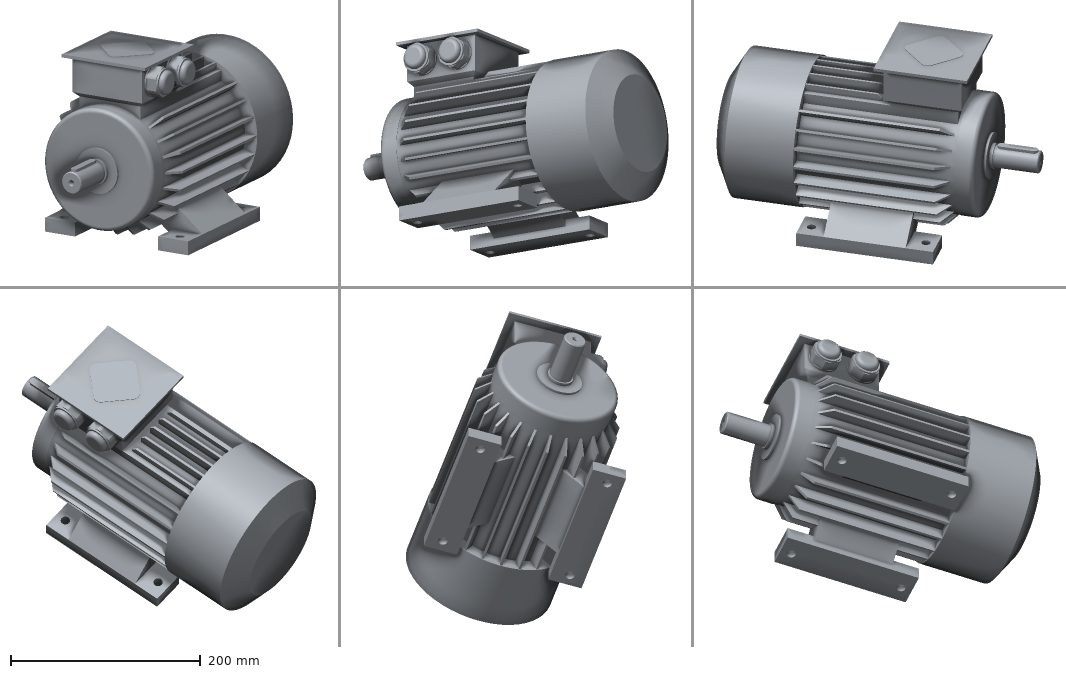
import cadquery as cq
import math


total_length = 340.0
shaft_dia = 24.0
shaft_chamfer = 1.0
shoulder_dia = 28.0
shoulder_y = 49.3
boss_dia = 50.0
boss_y = 53.0
flange_dia = 134.0
flange_y = 55.8
flange_back_y = 77.2
flange_round = 4.8
barrel_dia = 133.0
cowl_dia = 162.5
cowl_y = 248.5
cowl_cone_y = 323.5
cowl_end_dia = 104.5
center_dia = 6.8
center_depth = 5.8

key_width = 7.8
key_start_y = 2.7
key_length = 44.2
key_top_z = 14.5

fin_thickness = 2.7
fin_radius = 80.2
fin_step = 15
first_fin_angle = 135
last_fin_angle = 405
fin_front_y = 81.3
fin_full_y = 95.0
top_fin_count = 5
top_fin_pitch = 15.0
top_fin_end_y = 165.0
top_fin_chamfer = 4.8

box_size = 85.0
box_center_y = 117.5
box_base_z = 74.8
box_taper = 5.0
seat_width = box_size - 2 * box_taper
seat_top_z = 66.5
lid_size = 102.0
lid_base_z = 114.0
lid_thickness = 3.5
emblem_center_y = 116.5
emblem_size = 49.3
emblem_round = 7.5
emblem_height = 0.7

gland_pitch = 43.5
gland_z = 95.2
gland_dia = 33.0
gland_across_flats = 30.3
gland_collar = 1.7
gland_hex_sides = 6
gland_hex_length = 12.0
gland_washer_dia = 30.5
gland_washer_length = 2.0
gland_cap_dia = 26.2
gland_cap_length = 6.0
gland_cap_round = 4.5

foot_span = 175.0
foot_outer_x = foot_span / 2
foot_width = 36.7
foot_base_z = -90.0
foot_height = 15.3
foot_start_y = 94.0
foot_length = 149.5
foot_hole_dia = 10.0
foot_hole_inset_x = 17.0
foot_hole_inset_y = 12.2
web_length = 89.8
web_angle = 40.0
web_lower_z = -82.3
web_reach = 47.5


def make_body():
    """Shaft, end flange, barrel and fan cowl turned about the Y axis."""
    profile = [
        (0, 0),
        (shaft_dia / 2 - shaft_chamfer, 0),
        (shaft_dia / 2, shaft_chamfer),
        (shaft_dia / 2, shoulder_y),
        (shoulder_dia / 2, shoulder_y),
        (shoulder_dia / 2, boss_y),
        (boss_dia / 2, boss_y),
        (boss_dia / 2, flange_y),
        (flange_dia / 2 - flange_round, flange_y),
    ]
    round_drop = flange_round * (1 - math.sqrt(0.5))
    return (
        cq.Workplane("XY")
        .polyline(profile)
        .threePointArc(
            (flange_dia / 2 - round_drop, flange_y + round_drop),
            (flange_dia / 2, flange_y + flange_round),
        )
        .lineTo(flange_dia / 2, flange_back_y)
        .lineTo(barrel_dia / 2, flange_back_y)
        .lineTo(barrel_dia / 2, cowl_y)
        .lineTo(cowl_dia / 2, cowl_y)
        .lineTo(cowl_dia / 2, cowl_cone_y)
        .lineTo(cowl_end_dia / 2, total_length)
        .lineTo(0, total_length)
        .close()
        .revolve(360, (0, 0, 0), (0, 1, 0))
    )


def make_center_hole():
    """Conical lathe centre in the shaft tip."""
    cone = cq.Solid.makeCone(
        center_dia / 2, 0, center_depth, cq.Vector(0, 0, 0), cq.Vector(0, 1, 0)
    )
    return cq.Workplane(cone)


def make_key():
    """Round-ended key standing up out of the shaft."""
    return (
        cq.Workplane("XY")
        .center(0, key_start_y + key_length / 2)
        .slot2D(key_length, key_width, 90)
        .extrude(key_top_z)
    )


def make_radial_fins():
    """Fins around the sides and bottom, sloping down to the barrel at the front."""
    root = barrel_dia / 2
    fin = (
        cq.Workplane("XY")
        .polyline([
            (0, fin_front_y),
            (root, fin_front_y),
            (fin_radius, fin_full_y),
            (fin_radius, cowl_y),
            (0, cowl_y),
        ])
        .close()
        .extrude(fin_thickness / 2, both=True)
    )
    fins = cq.Workplane("XY")
    for angle in range(first_fin_angle, last_fin_angle + 1, fin_step):
        fins = fins.union(fin.rotate((0, 0, 0), (0, 1, 0), -angle))
    return fins


def make_top_fins():
    """Upright fins behind the terminal box, with bevelled front corners."""
    fins = cq.Workplane("XY")
    for index in range(top_fin_count):
        x = (index - (top_fin_count - 1) / 2) * top_fin_pitch
        tip_z = math.sqrt(fin_radius**2 - x**2)
        fin = (
            cq.Workplane("YZ")
            .polyline([
                (top_fin_end_y, 0),
                (top_fin_end_y, tip_z - top_fin_chamfer),
                (top_fin_end_y + top_fin_chamfer, tip_z),
                (cowl_y, tip_z),
                (cowl_y, 0),
            ])
            .close()
            .extrude(fin_thickness / 2, both=True)
            .translate((x, 0, 0))
        )
        fins = fins.union(fin)
    return fins


def make_terminal_box():
    """Seat on the barrel, tapered neck, box, lid and raised emblem plate."""
    seat_front_y = box_center_y - seat_width / 2
    seat = (
        cq.Workplane("XY")
        .center(0, (seat_front_y + cowl_y) / 2)
        .rect(seat_width, cowl_y - seat_front_y)
        .extrude(seat_top_z)
    )
    at_box = cq.Workplane("XY").center(0, box_center_y)
    neck = at_box.rect(seat_width, seat_width).extrude(box_base_z)
    box = (
        at_box.workplane(offset=box_base_z - box_taper)
        .rect(box_size, box_size)
        .extrude(lid_base_z - box_base_z + box_taper)
        .faces("<Z")
        .chamfer(box_taper)
    )
    lid = (
        at_box.workplane(offset=lid_base_z)
        .rect(lid_size, lid_size)
        .extrude(lid_thickness)
    )
    emblem = (
        cq.Workplane("XY", origin=(0, emblem_center_y, lid_base_z))
        .transformed(rotate=(0, 0, 45))
        .rect(emblem_size, emblem_size)
        .extrude(lid_thickness + emblem_height)
        .edges("|Z")
        .fillet(emblem_round)
    )
    return seat.union(neck).union(box).union(lid).union(emblem)


def make_gland():
    """Cable gland: collar, hexagon with rounded corners, washer and rounded cap."""
    hex_end = gland_collar + gland_hex_length
    washer_end = hex_end + gland_washer_length
    half_side_angle = 180 / gland_hex_sides
    across_corners = gland_across_flats / math.cos(math.radians(half_side_angle))
    collar = cq.Workplane("YZ").circle(gland_dia / 2).extrude(gland_collar)
    hexagon = (
        cq.Workplane("YZ")
        .transformed(rotate=(0, 0, half_side_angle))
        .polygon(gland_hex_sides, across_corners)
        .extrude(hex_end)
        .intersect(cq.Workplane("YZ").circle(gland_dia / 2).extrude(hex_end))
    )
    washer = (
        cq.Workplane("YZ", origin=(hex_end, 0, 0))
        .circle(gland_washer_dia / 2)
        .extrude(gland_washer_length)
    )
    cap = (
        cq.Workplane("YZ", origin=(washer_end, 0, 0))
        .circle(gland_cap_dia / 2)
        .extrude(gland_cap_length)
        .faces(">X")
        .edges()
        .fillet(gland_cap_round)
    )
    return collar.union(hexagon).union(washer).union(cap)


def make_foot():
    """Foot on the +X side: drilled pad and the slanted web up to the barrel."""
    inner_x = foot_outer_x - foot_width
    foot_top_z = foot_base_z + foot_height
    mid_y = foot_start_y + foot_length / 2
    pad = (
        cq.Workplane("XY")
        .workplane(offset=foot_base_z)
        .center(foot_outer_x - foot_width / 2, mid_y)
        .rect(foot_width, foot_length)
        .extrude(foot_height)
    )
    holes = (
        cq.Workplane("XY")
        .workplane(offset=foot_base_z)
        .center(foot_outer_x - foot_hole_inset_x, mid_y)
        .rarray(3.5, foot_length - 2 * foot_hole_inset_y, 1, 2)
        .circle(foot_hole_dia / 2)
        .extrude(foot_height)
    )
    rise = web_reach * math.tan(math.radians(web_angle))
    web = (
        cq.Workplane("XZ")
        .polyline([
            (foot_outer_x, foot_top_z),
            (foot_outer_x - web_reach, foot_top_z + rise),
            (inner_x - web_reach, web_lower_z + rise),
            (inner_x, web_lower_z),
            (inner_x, foot_top_z),
        ])
        .close()
        .extrude(web_length / 2, both=True)
        .translate((0, mid_y, 0))
    )
    return pad.cut(holes).union(web)


result = make_body().union(make_radial_fins()).union(make_top_fins())
result = result.union(make_terminal_box()).union(make_key())

gland = make_gland()
for side in (-1, 1):
    gland_y = box_center_y + side * gland_pitch / 2
    result = result.union(gland.translate((box_size / 2, gland_y, gland_z)))

foot = make_foot()
result = result.union(foot).union(foot.mirror("YZ"))
result = result.cut(make_center_hole())